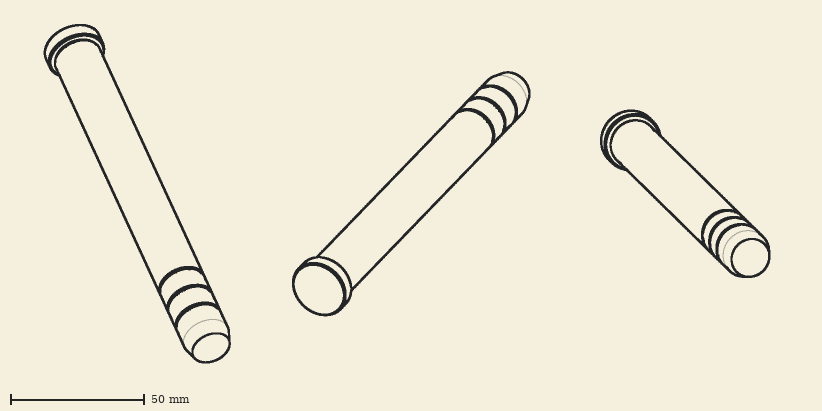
import cadquery as cq

LENGTH = 170.0
HEAD_DIAMETER = 22.0
HEAD_THICKNESS = 6.0
HEAD_CHAMFER = 0.5
SHANK_DIAMETER = 18.0

GROOVE_WIDTH = 1.0
GROOVE_DEPTH = 0.5
RING_COUNT = 3
RING_PITCH = 10.0
FIRST_RING_START = 134.5

TIP_LENGTH = 6.0
TIP_DIAMETER = 14.8


def cylinder(start, length, diameter):
    """Solid cylinder along +X beginning at X = start."""
    return cq.Workplane("YZ", origin=(start, 0, 0)).circle(diameter / 2).extrude(length)


def make_head():
    """Head disc with both rims chamfered."""
    return cylinder(0, HEAD_THICKNESS, HEAD_DIAMETER).edges("%CIRCLE").chamfer(HEAD_CHAMFER)


def make_shank():
    """Shank behind the head, tapered towards the tip."""
    tip_reduction = (SHANK_DIAMETER - TIP_DIAMETER) / 2
    shank = cylinder(HEAD_THICKNESS, LENGTH - HEAD_THICKNESS, SHANK_DIAMETER)
    return shank.faces(">X").chamfer(TIP_LENGTH, tip_reduction)


def make_groove(start):
    """Square-sided ring of material to remove from the shank."""
    outer = cylinder(start, GROOVE_WIDTH, SHANK_DIAMETER + 2 * GROOVE_DEPTH)
    core = cylinder(start, GROOVE_WIDTH, SHANK_DIAMETER - 2 * GROOVE_DEPTH)
    return outer.cut(core)


shank = make_shank().cut(make_groove(HEAD_THICKNESS))
for ring in range(RING_COUNT):
    shank = shank.cut(make_groove(FIRST_RING_START + ring * RING_PITCH))

result = make_head().union(shank)